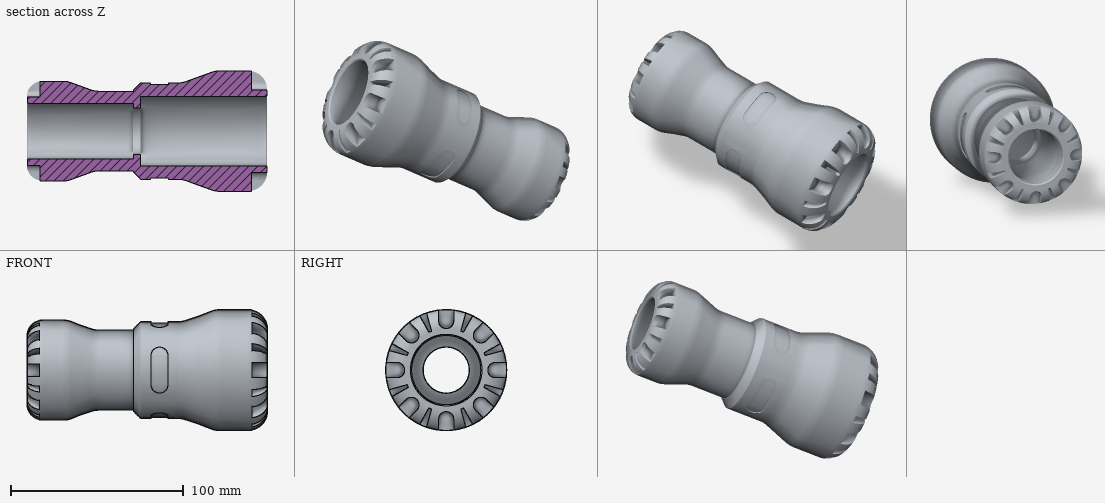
import cadquery as cq
import math

LENGTH = 139.0

SMALL_HEAD_DIA = 58.0
NECK_DIA = 46.4
COLLAR_DIA = 56.0
LARGE_HEAD_DIA = 70.0

SMALL_FACE_DIA = 40.0
LARGE_FACE_DIA = 48.1

SMALL_FLANK_START = 21.0
COLLAR_START = 61.5
LARGE_FLANK_END = 111.6

FLANK_ANGLE = math.radians(20)
SMALL_FLANK_BLEND = 12.0
LARGE_FLANK_BLEND = 14.2

COLLAR_CHAMFER = 4.3
COLLAR_EDGE_ROUND = 0.5

SMALL_SOCKET_DIA = 32.0
LARGE_SOCKET_DIA = 40.0
PASSAGE_DIA = 26.5
STOP_WIDTH = 4.2
MOUTH_CHAMFER = 0.7

NOTCH_COUNT = 8
NOTCH_PITCH = 360 / NOTCH_COUNT
SMALL_NOTCH_WIDTH = 7.2
SMALL_NOTCH_DEPTH = 7.2
LARGE_NOTCH_WIDTH = 8.8
LARGE_NOTCH_DEPTH = 9.0
TAPER_OUTER_RATIO = 0.5
TAPER_INNER_RATIO = 0.19

RECESS_COUNT = 4
RECESS_CENTER_X = 76.6
RECESS_WIDTH = 9.9
RECESS_LENGTH = 26.5
RECESS_DEPTH = 0.7

CUT_MARGIN = 2.8
MATCH_TOLERANCE = 0.01


def rim_radius(head_dia, face_dia):
    """Radius of the quarter-round rim between an end face and its head."""
    return (head_dia - face_dia) / 2


def flank_points(x_wide, r_wide, r_narrow, blend, direction):
    """Points of a flank: blend, straight cone, blend; it narrows along `direction`."""
    sin_a = math.sin(FLANK_ANGLE)
    cos_a = math.cos(FLANK_ANGLE)
    half = FLANK_ANGLE / 2
    blend_run = blend * sin_a
    blend_drop = blend * (1 - cos_a)
    cone_run = (r_wide - r_narrow - 2 * blend_drop) / math.tan(FLANK_ANGLE)
    mid_run = blend * math.sin(half)
    mid_drop = blend * (1 - math.cos(half))
    total_run = 2 * blend_run + cone_run
    offsets = [
        (0, r_wide),
        (mid_run, r_wide - mid_drop),
        (blend_run, r_wide - blend_drop),
        (blend_run + cone_run, r_narrow + blend_drop),
        (total_run - mid_run, r_narrow + mid_drop),
        (total_run, r_narrow),
    ]
    return [(x_wide + direction * run, radius) for run, radius in offsets]


def make_body():
    """Solid of revolution around X with the complete outer outline."""
    small_r = SMALL_HEAD_DIA / 2
    neck_r = NECK_DIA / 2
    collar_r = COLLAR_DIA / 2
    large_r = LARGE_HEAD_DIA / 2
    small_rim = rim_radius(SMALL_HEAD_DIA, SMALL_FACE_DIA)
    large_rim = rim_radius(LARGE_HEAD_DIA, LARGE_FACE_DIA)
    diagonal = math.sqrt(0.5)

    small_flank = flank_points(SMALL_FLANK_START, small_r, neck_r, SMALL_FLANK_BLEND, 1)
    large_flank = flank_points(LARGE_FLANK_END, large_r, collar_r, LARGE_FLANK_BLEND, -1)
    large_flank.reverse()

    small_rim_mid = (small_rim * (1 - diagonal), small_r - small_rim * (1 - diagonal))
    large_rim_mid = (LENGTH - large_rim * (1 - diagonal), large_r - large_rim * (1 - diagonal))

    outline = (
        cq.Workplane("XY")
        .lineTo(0, SMALL_FACE_DIA / 2)
        .threePointArc(small_rim_mid, (small_rim, small_r))
        .lineTo(*small_flank[0])
        .threePointArc(small_flank[1], small_flank[2])
        .lineTo(*small_flank[3])
        .threePointArc(small_flank[4], small_flank[5])
        .lineTo(COLLAR_START, neck_r)
        .lineTo(COLLAR_START, collar_r - COLLAR_CHAMFER)
        .lineTo(COLLAR_START + COLLAR_CHAMFER, collar_r)
        .lineTo(*large_flank[0])
        .threePointArc(large_flank[1], large_flank[2])
        .lineTo(*large_flank[3])
        .threePointArc(large_flank[4], large_flank[5])
        .lineTo(LENGTH - large_rim, large_r)
        .threePointArc(large_rim_mid, (LENGTH, LARGE_FACE_DIA / 2))
        .lineTo(LENGTH, 0)
        .close()
    )
    return outline.revolve(360, (0, 0, 0), (1, 0, 0))


def round_collar_edges(body):
    """Break the inner and outer edge of the collar's chamfer with a small fillet."""
    outer_r = COLLAR_DIA / 2
    chamfer_edges = [
        (COLLAR_START, outer_r - COLLAR_CHAMFER),
        (COLLAR_START + COLLAR_CHAMFER, outer_r),
    ]

    def on_chamfer(edge):
        if edge.geomType() != "CIRCLE":
            return False
        return any(
            abs(edge.arcCenter().x - x) < MATCH_TOLERANCE and abs(edge.radius() - radius) < MATCH_TOLERANCE
            for x, radius in chamfer_edges
        )

    return body.edges().filter(on_chamfer).fillet(COLLAR_EDGE_ROUND)


def make_bore():
    """Stepped bore: small socket, passage, large socket, with chamfered mouths."""
    small_r = SMALL_SOCKET_DIA / 2
    large_r = LARGE_SOCKET_DIA / 2
    passage_r = PASSAGE_DIA / 2
    stop_end = COLLAR_START + STOP_WIDTH
    points = [
        (0, 0),
        (0, small_r + MOUTH_CHAMFER),
        (MOUTH_CHAMFER, small_r),
        (COLLAR_START, small_r),
        (COLLAR_START, passage_r),
        (stop_end, passage_r),
        (stop_end, large_r),
        (LENGTH - MOUTH_CHAMFER, large_r),
        (LENGTH, large_r + MOUTH_CHAMFER),
        (LENGTH, 0),
    ]
    return cq.Workplane("XY").polyline(points).close().revolve(360, (0, 0, 0), (1, 0, 0))


def make_notches(start_x, depth, width, head_dia, face_dia):
    """Cutters for the two alternating sets of notches, from start_x over depth."""
    face_r = face_dia / 2
    head_r = head_dia / 2
    outer_r = head_r + CUT_MARGIN
    half = width / 2

    plane = cq.Workplane("YZ", origin=(start_x, 0, 0))
    round_notch = (
        plane.moveTo(outer_r, half)
        .lineTo(face_r + half, half)
        .threePointArc((face_r, 0), (face_r + half, -half))
        .lineTo(outer_r, -half)
        .close()
        .extrude(depth)
    )
    half_outer = half * TAPER_OUTER_RATIO
    half_inner = half * TAPER_INNER_RATIO
    tapered_notch = (
        plane.polyline([
            (face_r, half_inner),
            (head_r, half_outer),
            (head_r, -half_outer),
            (face_r, -half_inner),
        ])
        .close()
        .extrude(depth)
        .rotate((0, 0, 0), (1, 0, 0), NOTCH_PITCH / 2)
    )
    pair = round_notch.union(tapered_notch)
    cutters = pair
    for index in range(1, NOTCH_COUNT):
        cutters = cutters.union(pair.rotate((0, 0, 0), (1, 0, 0), index * NOTCH_PITCH))
    return cutters


def make_recesses():
    """Obround recesses sunk radially to a floor concentric with the collar."""
    floor_r = COLLAR_DIA / 2 - RECESS_DEPTH
    core = cq.Workplane("YZ").circle(floor_r).extrude(LENGTH)
    cutters = cq.Workplane("XY")
    for index in range(RECESS_COUNT):
        cutter = (
            cq.Workplane("XY", origin=(RECESS_CENTER_X, 0, 0))
            .slot2D(RECESS_LENGTH, RECESS_WIDTH, 90)
            .extrude(COLLAR_DIA / 2 + CUT_MARGIN)
            .cut(core)
            .rotate((0, 0, 0), (1, 0, 0), index * 360 / RECESS_COUNT)
        )
        cutters = cutters.add(cutter)
    return cutters.combine()


small_notches = make_notches(
    0, SMALL_NOTCH_DEPTH, SMALL_NOTCH_WIDTH, SMALL_HEAD_DIA, SMALL_FACE_DIA
)
large_notches = make_notches(
    LENGTH - LARGE_NOTCH_DEPTH, LARGE_NOTCH_DEPTH, LARGE_NOTCH_WIDTH, LARGE_HEAD_DIA, LARGE_FACE_DIA
)

result = (
    round_collar_edges(make_body())
    .cut(make_bore())
    .cut(small_notches)
    .cut(large_notches)
    .cut(make_recesses())
)